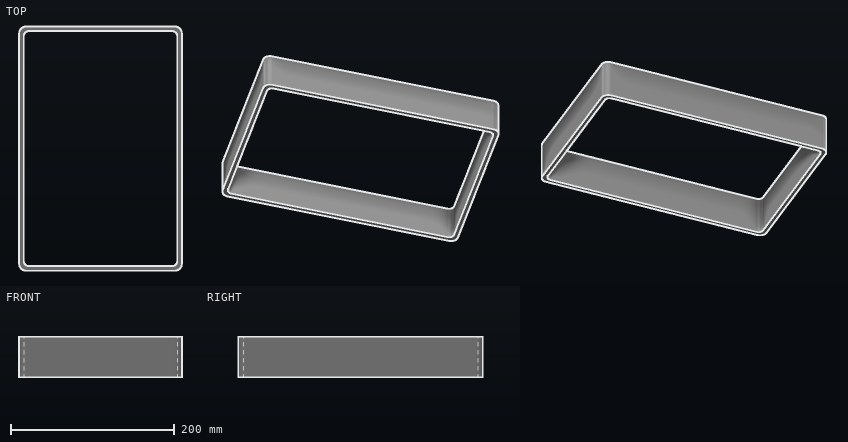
import cadquery as cq

length = 300.0
width = length * 2 / 3
height = length / 6

wall = 6.0
outer_corner_radius = 9.0
inner_corner_radius = 6.0


def rounded_block(size_x, size_y, corner_radius):
    """Full-height block with rounded vertical edges, standing on Z = 0."""
    block = cq.Workplane("XY").box(size_x, size_y, height, centered=(True, True, False))
    return block.edges("|Z").fillet(corner_radius)


outer_block = rounded_block(width, length, outer_corner_radius)
opening = rounded_block(width - 2 * wall, length - 2 * wall, inner_corner_radius)
result = outer_block.cut(opening)